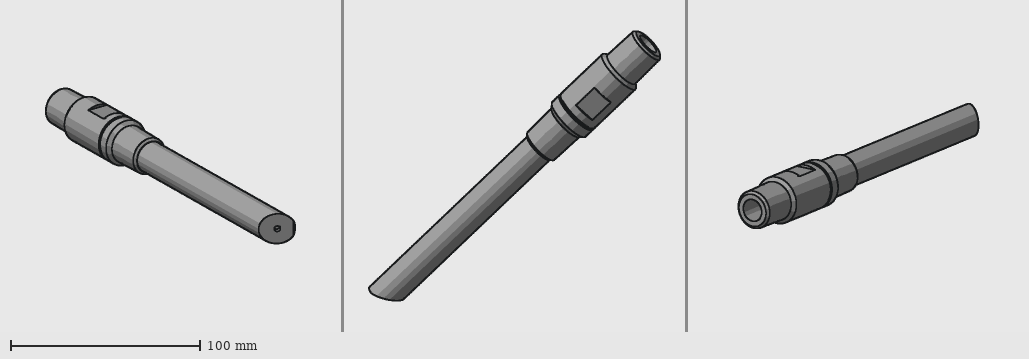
import cadquery as cq
import math

total_length = 202.3
body_diameter = 25.5
tube_diameter = 17.2

taper_small_diameter = 20.5
taper_large_diameter = 21.2
end_chamfer = 1.5

inlet_taper_end = 20.2
body_start = 22.0
body_end = 59.9
outlet_taper_start = 62.3
connector_end = 82.5

groove_start = 53.2
groove_width = 1.2
groove_diameter = 23.5

flat_start = 34.4
flat_length = 14.0
flat_spacing = 22.5

bore_diameter = 12.0
bore_depth = connector_end
tip_hole_diameter = 3.2
tip_hole_depth = 3.2

tip_angle = 30.0
tip_center = 198.0


def make_turned_blank():
    """Revolve the connector and the tube about the X axis."""
    body_radius = body_diameter / 2
    tube_radius = tube_diameter / 2
    small_radius = taper_small_diameter / 2
    large_radius = taper_large_diameter / 2
    profile = [
        (0, 0),
        (0, small_radius - end_chamfer),
        (end_chamfer, small_radius),
        (inlet_taper_end, large_radius),
        (body_start, body_radius),
        (body_end, body_radius),
        (outlet_taper_start, large_radius),
        (connector_end - end_chamfer, small_radius),
        (connector_end, small_radius - end_chamfer),
        (connector_end, tube_radius),
        (total_length, tube_radius),
        (total_length, 0),
    ]
    return cq.Workplane("XY").polyline(profile).close().revolve(360, (0, 0), (1, 0))


def make_groove():
    return (
        cq.Workplane("YZ", origin=(groove_start, 0, 0))
        .circle(body_diameter / 2)
        .circle(groove_diameter / 2)
        .extrude(groove_width)
    )


def make_flat_cutter(side):
    """Block outside one wrench flat; side is +1 for the top, -1 for the bottom."""
    height = body_diameter / 2
    center_x = flat_start + flat_length / 2
    center_z = side * (flat_spacing / 2 + height / 2)
    return cq.Workplane("XY").box(flat_length, body_diameter, height).translate((center_x, 0, center_z))


def make_tip_cutter():
    """Prism beyond the slanted plane, leaving the long point on the +Y side."""
    reach = tube_diameter
    slant = reach * math.tan(math.radians(tip_angle))
    corners = [
        (tip_center - slant, -reach),
        (tip_center + slant, reach),
        (tip_center + slant, -reach),
    ]
    return cq.Workplane("XY").polyline(corners).close().extrude(tube_diameter, both=True)


def make_tip_hole():
    """Blind hole square to the slanted face."""
    angle = math.radians(tip_angle)
    inward = cq.Vector(-math.cos(angle), math.sin(angle), 0)
    start = cq.Vector(tip_center, 0, 0)
    return cq.Workplane(cq.Solid.makeCylinder(tip_hole_diameter / 2, tip_hole_depth, start, inward))


bore = cq.Workplane("YZ").circle(bore_diameter / 2).extrude(bore_depth)

result = make_turned_blank().cut(bore).cut(make_groove())
for side in (1, -1):
    result = result.cut(make_flat_cutter(side))
result = result.cut(make_tip_cutter()).cut(make_tip_hole())